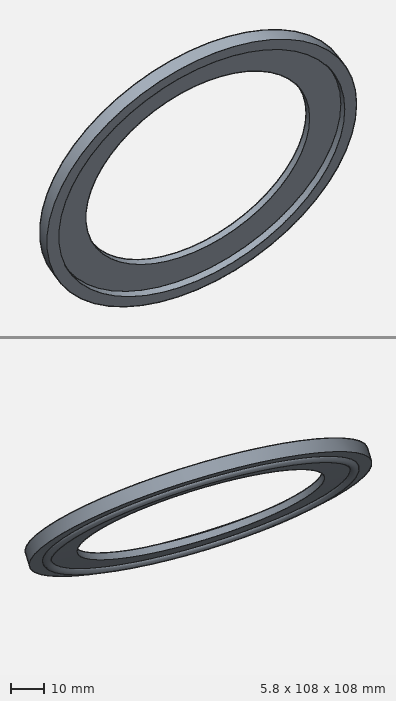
import cadquery as cq

outer_radius = 54.0
bore_radius = 39.0
rim_thickness = 4.4

bead_height = 1.4
bead_wall_height = 0.3
bead_width = 2.7
bead_centre_radius = 48.5
bead_inner_radius = bead_centre_radius - bead_width / 2
bead_outer_radius = bead_centre_radius + bead_width / 2

bore_edge_rise = 0.2
bore_wall_length = 2.3
recess_floor_x = bore_wall_length - bore_edge_rise
recess_radius = bead_outer_radius

section = (
    cq.Workplane("XY")
    .moveTo(-bore_edge_rise, bore_radius)
    .lineTo(0, bead_inner_radius)
    .lineTo(-bead_wall_height, bead_inner_radius)
    .threePointArc(
        (-bead_height, bead_centre_radius),
        (-bead_wall_height, bead_outer_radius),
    )
    .lineTo(0, bead_outer_radius)
    .lineTo(0, outer_radius)
    .lineTo(rim_thickness, outer_radius)
    .lineTo(rim_thickness, recess_radius)
    .lineTo(recess_floor_x, recess_radius)
    .lineTo(recess_floor_x, bore_radius)
    .close()
)

result = section.revolve(360, (0, 0, 0), (1, 0, 0))